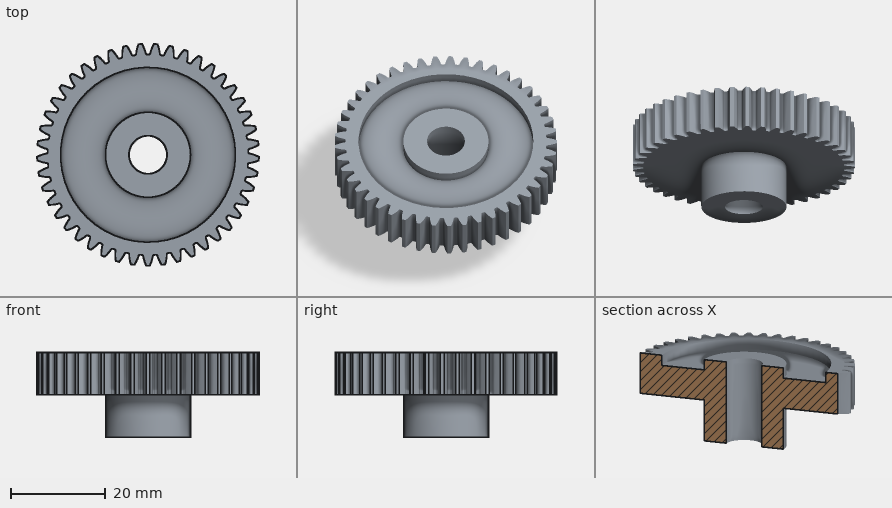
import cadquery as cq
import math

MODULE = 1.0
TOOTH_COUNT = 45
PRESSURE_ANGLE = math.radians(20)
ADDENDUM = 1.0 * MODULE
DEDENDUM = 1.25 * MODULE
ROOT_FILLET = 0.3 * MODULE
FLANK_POINTS = 5
FIRST_TOOTH_ANGLE = math.radians(-90)

PITCH_RADIUS = MODULE * TOOTH_COUNT / 2
BASE_RADIUS = PITCH_RADIUS * math.cos(PRESSURE_ANGLE)
TIP_RADIUS = PITCH_RADIUS + ADDENDUM
ROOT_RADIUS = PITCH_RADIUS - DEDENDUM
TOOTH_PITCH = 2 * math.pi / TOOTH_COUNT

FACE_WIDTH = 9.0
HUB_LENGTH = 9.0
HUB_DIAMETER = 18.0
BORE_DIAMETER = 8.0
RECESS_DIAMETER = 37.0
RECESS_DEPTH = 2.25
TOTAL_HEIGHT = HUB_LENGTH + FACE_WIDTH


def polar_point(radius, angle):
    return (radius * math.cos(angle), radius * math.sin(angle))


def involute(angle):
    return math.tan(angle) - angle


def tooth_half_angle(radius):
    """Angle between a tooth's centre line and its involute flank at the given radius."""
    flank_angle = math.acos(BASE_RADIUS / radius)
    return TOOTH_PITCH / 4 + involute(PRESSURE_ANGLE) - involute(flank_angle)


def flank(centre_angle, side):
    """Points along one flank from root to tip; side is -1 or +1 of the tooth's centre line."""
    step = (TIP_RADIUS - ROOT_RADIUS) / (FLANK_POINTS - 1)
    radii = [ROOT_RADIUS + i * step for i in range(FLANK_POINTS)]
    return [polar_point(r, centre_angle + side * tooth_half_angle(r)) for r in radii]


def toothed_disc():
    outline = cq.Workplane("XY").workplane(offset=HUB_LENGTH)
    outline = outline.moveTo(*flank(FIRST_TOOTH_ANGLE, -1)[0])
    for tooth in range(TOOTH_COUNT):
        centre = FIRST_TOOTH_ANGLE + tooth * TOOTH_PITCH
        rising = flank(centre, -1)
        falling = flank(centre, +1)[::-1]
        next_start = flank(centre + TOOTH_PITCH, -1)[0]
        gap_middle = polar_point(ROOT_RADIUS, centre + TOOTH_PITCH / 2)
        outline = outline.spline(rising[1:], includeCurrent=True)
        outline = outline.threePointArc(polar_point(TIP_RADIUS, centre), falling[0])
        outline = outline.spline(falling[1:], includeCurrent=True)
        outline = outline.threePointArc(gap_middle, next_start)
    disc = outline.close().extrude(FACE_WIDTH)
    return fillet_roots(disc)


def fillet_roots(disc):
    """Round the corners where the flanks meet the root circle."""
    mid_radius = (ROOT_RADIUS + TIP_RADIUS) / 2
    corners = []
    for edge in disc.edges("|Z").vals():
        centre = edge.Center()
        if math.hypot(centre.x, centre.y) < mid_radius:
            corners.append(edge)
    return disc.newObject(corners).fillet(ROOT_FILLET)


def recess():
    """Ring-shaped pocket in the upper face, between the rim and the hub."""
    ring = cq.Workplane("XY").workplane(offset=TOTAL_HEIGHT)
    ring = ring.circle(RECESS_DIAMETER / 2).circle(HUB_DIAMETER / 2)
    return ring.extrude(-RECESS_DEPTH)


def hub():
    return cq.Workplane("XY").circle(HUB_DIAMETER / 2).extrude(TOTAL_HEIGHT)


def bore():
    return cq.Workplane("XY").circle(BORE_DIAMETER / 2).extrude(TOTAL_HEIGHT)


result = toothed_disc().cut(recess()).union(hub()).cut(bore())